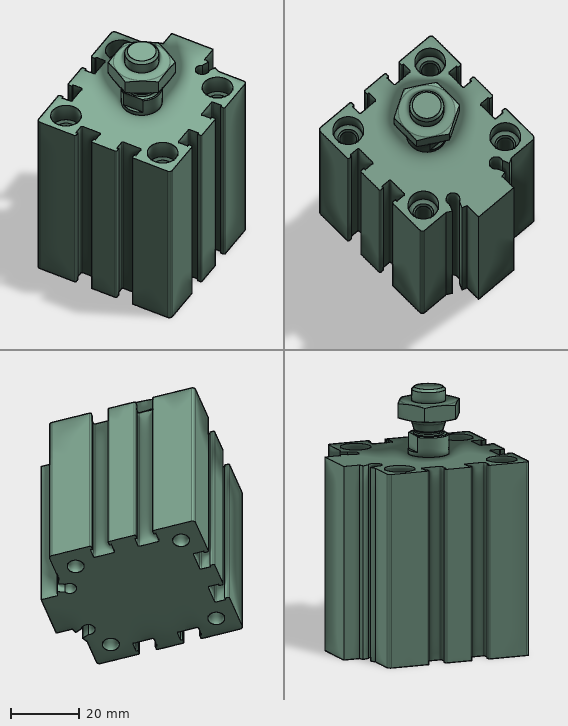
import cadquery as cq
import math


housing_side = 45.0
housing_height = 58.0
half_side = housing_side / 2
corner_radius = 1.0

tab_width = 14.0
tab_top = 30.0
crown_radius = 26.0

slot_offset = 6.9
slot_mouth_width = 5.2
slot_inner_width = 6.5
slot_lip = 1.4
slot_depth = 4.6
slot_rounding = 0.4

sensor_slot_angle = 22.5
sensor_hole_radius = 22.4
sensor_hole_diameter = 4.0
sensor_mouth_width = 3.05

mount_pitch = 32.5
mount_diameter = 4.9
mount_chamfer_diameter = 6.0
counterbore_diameter = 9.0
counterbore_depth = 5.7

overall_height = 78.0
collar_diameter = 12.0
collar_height = 6.1
collar_chamfer = 0.3
flat_width = 10.0
flat_start = 1.25
groove_diameter = 8.2
groove_bottom = 6.5
groove_top = 6.95
groove_foot_diameter = 9.0
taper_small_diameter = 8.65
taper_bottom = 7.25
taper_top = 9.5
thread_diameter = 10.0
tip_chamfer = 0.8

nut_across_flats = 17.0
nut_bottom = 11.0
nut_thickness = 4.9
nut_face_diameter = 16.6
nut_chamfer_angle = 15.0


def t_slot(side_angle, offset):
    """Cutter for one T-slot, drawn on the -Y side and turned to its own side."""
    half_mouth = slot_mouth_width / 2
    mouth = (
        cq.Workplane("XY")
        .moveTo(-half_mouth - slot_rounding, 0)
        .radiusArc((-half_mouth, slot_rounding), -slot_rounding)
        .lineTo(-half_mouth, slot_lip)
        .lineTo(half_mouth, slot_lip)
        .lineTo(half_mouth, slot_rounding)
        .radiusArc((half_mouth + slot_rounding, 0), -slot_rounding)
        .close()
        .extrude(housing_height)
    )
    inner_length = slot_depth - slot_lip
    inner = (
        cq.Workplane("XY")
        .center(0, slot_lip + inner_length / 2)
        .rect(slot_inner_width, inner_length)
        .extrude(housing_height)
        .edges("|Z and >Y")
        .fillet(slot_rounding)
    )
    slot = mouth.union(inner).translate((offset, -half_side, 0))
    return slot.rotate((0, 0, 0), (0, 0, 1), side_angle)


def sensor_slot(angle):
    """Cutter for one keyhole slot, drawn along +Y and tilted about the rod axis."""
    hole = (
        cq.Workplane("XY")
        .center(0, sensor_hole_radius)
        .circle(sensor_hole_diameter / 2)
        .extrude(housing_height)
    )
    mouth_length = tab_top - sensor_hole_radius
    mouth = (
        cq.Workplane("XY")
        .center(0, sensor_hole_radius + mouth_length / 2)
        .rect(sensor_mouth_width, mouth_length)
        .extrude(housing_height)
    )
    return hole.union(mouth).rotate((0, 0, 0), (0, 0, 1), angle)


def make_housing():
    block = (
        cq.Workplane("XY")
        .rect(housing_side, housing_side)
        .extrude(housing_height)
        .edges("|Z")
        .fillet(corner_radius)
    )
    half_chord = math.sqrt(crown_radius**2 - half_side**2)
    crown = (
        cq.Workplane("XY")
        .moveTo(half_chord, half_side)
        .threePointArc((0, crown_radius), (-half_chord, half_side))
        .close()
        .extrude(housing_height)
    )
    tab = (
        cq.Workplane("XY")
        .center(0, tab_top / 2)
        .rect(tab_width, tab_top)
        .extrude(housing_height)
    )
    housing = block.union(crown).union(tab)
    for tilt in (-sensor_slot_angle, sensor_slot_angle):
        housing = housing.cut(sensor_slot(tilt))

    for side_angle in (-90, 0, 90):
        for offset in (-slot_offset, slot_offset):
            housing = housing.cut(t_slot(side_angle, offset))

    counterbore_floor = housing_height - counterbore_depth
    chamfer_depth = (mount_chamfer_diameter - mount_diameter) / 2
    hole_profile = (
        cq.Workplane("XZ")
        .moveTo(0, 0)
        .lineTo(mount_diameter / 2, 0)
        .lineTo(mount_diameter / 2, counterbore_floor - chamfer_depth)
        .lineTo(mount_chamfer_diameter / 2, counterbore_floor)
        .lineTo(counterbore_diameter / 2, counterbore_floor)
        .lineTo(counterbore_diameter / 2, housing_height)
        .lineTo(0, housing_height)
        .close()
    )
    hole = hole_profile.revolve(360, (0, 0, 0), (0, 1, 0))
    for x in (-mount_pitch / 2, mount_pitch / 2):
        for y in (-mount_pitch / 2, mount_pitch / 2):
            housing = housing.cut(hole.translate((x, y, 0)))
    return housing


def make_rod():
    length = overall_height - housing_height
    collar_radius = collar_diameter / 2
    thread_radius = thread_diameter / 2
    rod = (
        cq.Workplane("XZ")
        .moveTo(0, 0)
        .lineTo(collar_radius, 0)
        .lineTo(collar_radius, collar_height - collar_chamfer)
        .lineTo(collar_radius - collar_chamfer, collar_height)
        .lineTo(groove_foot_diameter / 2, collar_height)
        .lineTo(groove_diameter / 2, groove_bottom)
        .lineTo(groove_diameter / 2, groove_top)
        .lineTo(taper_small_diameter / 2, taper_bottom)
        .lineTo(thread_radius, taper_top)
        .lineTo(thread_radius, length - tip_chamfer)
        .lineTo(thread_radius - tip_chamfer, length)
        .lineTo(0, length)
        .close()
        .revolve(360, (0, 0, 0), (0, 1, 0))
    )
    flat_height = collar_height - flat_start
    for side in (-1, 1):
        cutter = cq.Workplane("XY").box(
            collar_diameter, collar_diameter, flat_height, centered=(True, True, False)
        )
        flat_shift = side * (flat_width + collar_diameter) / 2
        rod = rod.cut(cutter.translate((0, flat_shift, flat_start)))
    return rod.translate((0, 0, housing_height))


def make_nut():
    corner_to_corner = nut_across_flats / math.cos(math.radians(30))
    hexagon = (
        cq.Workplane("XY")
        .polygon(6, corner_to_corner)
        .extrude(nut_thickness)
        .rotate((0, 0, 0), (0, 0, 1), 30)
    )
    face_radius = nut_face_diameter / 2
    nut_radius = corner_to_corner / 2
    bevel_drop = (nut_radius - face_radius) * math.tan(math.radians(nut_chamfer_angle))
    bevelled_disc = (
        cq.Workplane("XZ")
        .moveTo(0, 0)
        .lineTo(face_radius, 0)
        .lineTo(nut_radius, bevel_drop)
        .lineTo(nut_radius, nut_thickness - bevel_drop)
        .lineTo(face_radius, nut_thickness)
        .lineTo(0, nut_thickness)
        .close()
        .revolve(360, (0, 0, 0), (0, 1, 0))
    )
    bore = cq.Workplane("XY").circle(thread_diameter / 2).extrude(nut_thickness)
    nut = hexagon.intersect(bevelled_disc).cut(bore)
    return nut.translate((0, 0, housing_height + nut_bottom))


housing = make_housing()
rod = make_rod()
nut = make_nut()

result = cq.Compound.makeCompound([housing.val(), rod.val(), nut.val()])